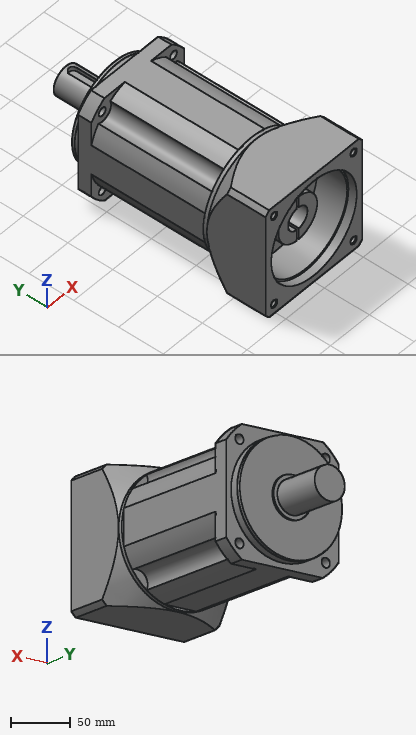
import cadquery as cq
import math

TOTAL_LENGTH = 277.0

ADAPTER_SIDE = 125.0
ADAPTER_CORNER_RADIUS = 85.0
ADAPTER_BLOCK_LENGTH = 43.0
ADAPTER_COLLAR_RADIUS = 62.3
ADAPTER_LENGTH = 69.8
MOTOR_PILOT_RADIUS = 55.0
MOTOR_PILOT_DEPTH = 9.1
MOTOR_BORE_RADIUS = 53.2
MOTOR_BORE_DEPTH = 42.7
INPUT_OPENING_RADIUS = 35.0
MOTOR_SCREW_OFFSET = 51.2
MOTOR_SCREW_RADIUS = 3.3
MOTOR_SCREW_RIM_RADIUS = 4.2
MOTOR_SCREW_DEPTH = 19.5
DRILL_POINT_ANGLE = 118

FLANGE_SIDE = 120.0
FLANGE_CORNER_RADIUS = 74.0
FLANGE_START = 196.7
FLANGE_END = 211.5
FLANGE_HOLE_RADIUS = 4.5
FLANGE_HOLE_OFFSET = 46.0
BARREL_RADIUS = 62.3
GROOVE_RADIUS = 11.4
OUTPUT_PILOT_RADIUS = 54.8
OUTPUT_PILOT_STEP = 220.0
OUTPUT_PILOT_TIP_RADIUS = 54.5
OUTPUT_PILOT_END = 223.3

SHAFT_COLLAR_RADIUS = 20.0
SHAFT_COLLAR_END = 225.2
SHAFT_RADIUS = 16.0
KEY_WIDTH = 10.0
KEY_START = 227.5
KEY_END = 273.7
KEY_DEPTH = 5.0

HUB_RADIUS = 25.0
HUB_BORE_RADIUS = 12.5
HUB_START = 18.0
HUB_SLIT_WIDTH = 2.5


def cylinder(radius, start, end, x=0, z=0):
    """Cylinder along Y from start to end, centred on (x, z)."""
    return cq.Workplane("XZ", origin=(x, start, z)).circle(radius).extrude(start - end)


def square_bar(side, start, end):
    """Square bar along Y from start to end, centred on the axis."""
    return cq.Workplane("XZ", origin=(0, start, 0)).rect(side, side).extrude(start - end)


def four_corners(offset):
    """Places (x, z) of four points on the diagonals."""
    return [(sx * offset, sz * offset) for sx in (-1, 1) for sz in (-1, 1)]


def motor_screw_hole():
    """Blind hole on the axis with a 45 degree countersink and a conical drill point."""
    countersink_depth = MOTOR_SCREW_RIM_RADIUS - MOTOR_SCREW_RADIUS
    point_length = MOTOR_SCREW_RADIUS / math.tan(math.radians(DRILL_POINT_ANGLE / 2))
    return (
        cq.Workplane("XY")
        .polyline([
            (0, 0),
            (MOTOR_SCREW_RIM_RADIUS, 0),
            (MOTOR_SCREW_RADIUS, countersink_depth),
            (MOTOR_SCREW_RADIUS, MOTOR_SCREW_DEPTH),
            (0, MOTOR_SCREW_DEPTH + point_length),
        ])
        .close()
        .revolve(360, (0, 0, 0), (0, 1, 0))
    )


def make_adapter():
    cone_length = ADAPTER_CORNER_RADIUS - ADAPTER_COLLAR_RADIUS
    cone_end = ADAPTER_BLOCK_LENGTH + cone_length
    turned = (
        cq.Workplane("XY")
        .polyline([
            (0, 0),
            (ADAPTER_CORNER_RADIUS, 0),
            (ADAPTER_CORNER_RADIUS, ADAPTER_BLOCK_LENGTH),
            (ADAPTER_COLLAR_RADIUS, cone_end),
            (ADAPTER_COLLAR_RADIUS, ADAPTER_LENGTH),
            (0, ADAPTER_LENGTH),
        ])
        .close()
        .revolve(360, (0, 0, 0), (0, 1, 0))
    )
    body = turned.intersect(square_bar(ADAPTER_SIDE, 0, ADAPTER_LENGTH))
    body = body.cut(cylinder(MOTOR_PILOT_RADIUS, 0, MOTOR_PILOT_DEPTH))
    body = body.cut(cylinder(MOTOR_BORE_RADIUS, 0, MOTOR_BORE_DEPTH))
    body = body.cut(cylinder(INPUT_OPENING_RADIUS, 0, ADAPTER_LENGTH))
    for x, z in four_corners(MOTOR_SCREW_OFFSET):
        body = body.cut(motor_screw_hole().translate((x, 0, z)))
    return body


def make_housing():
    """Barrel with corner grooves, mounting flange and round output pilot."""
    barrel = cylinder(BARREL_RADIUS, ADAPTER_LENGTH, FLANGE_START)
    for x, z in four_corners(FLANGE_HOLE_OFFSET):
        barrel = barrel.cut(cylinder(GROOVE_RADIUS, ADAPTER_LENGTH, FLANGE_START, x, z))
    flange = cylinder(FLANGE_CORNER_RADIUS, FLANGE_START, FLANGE_END)
    for x, z in four_corners(FLANGE_HOLE_OFFSET):
        flange = flange.cut(cylinder(FLANGE_HOLE_RADIUS, FLANGE_START, FLANGE_END, x, z))
    body = barrel.union(flange).intersect(square_bar(FLANGE_SIDE, ADAPTER_LENGTH, FLANGE_END))
    body = body.union(cylinder(OUTPUT_PILOT_RADIUS, FLANGE_END, OUTPUT_PILOT_STEP))
    return body.union(cylinder(OUTPUT_PILOT_TIP_RADIUS, OUTPUT_PILOT_STEP, OUTPUT_PILOT_END))


def make_output_shaft():
    collar = cylinder(SHAFT_COLLAR_RADIUS, OUTPUT_PILOT_END, SHAFT_COLLAR_END)
    shaft = cylinder(SHAFT_RADIUS, OUTPUT_PILOT_END, TOTAL_LENGTH)
    key_slot = (
        cq.Workplane("XY", origin=(0, (KEY_START + KEY_END) / 2, SHAFT_RADIUS - KEY_DEPTH))
        .slot2D(KEY_END - KEY_START, KEY_WIDTH, 90)
        .extrude(2 * KEY_DEPTH)
    )
    return collar.union(shaft).cut(key_slot)


def make_input_hub():
    hub = cylinder(HUB_RADIUS, HUB_START, ADAPTER_LENGTH)
    hub = hub.cut(cylinder(HUB_BORE_RADIUS, HUB_START, ADAPTER_LENGTH))
    slit_length = ADAPTER_LENGTH - HUB_START
    slit = cq.Workplane("XY").box(HUB_SLIT_WIDTH, slit_length, 2 * HUB_RADIUS)
    return hub.cut(slit.translate((0, HUB_START + slit_length / 2, 0)))


def make_gearbox():
    """Housing, output shaft and input hub as one solid."""
    return make_housing().union(make_output_shaft()).union(make_input_hub())


adapter = make_adapter()
gearbox = make_gearbox()
result = cq.Compound.makeCompound([adapter.val(), gearbox.val()])